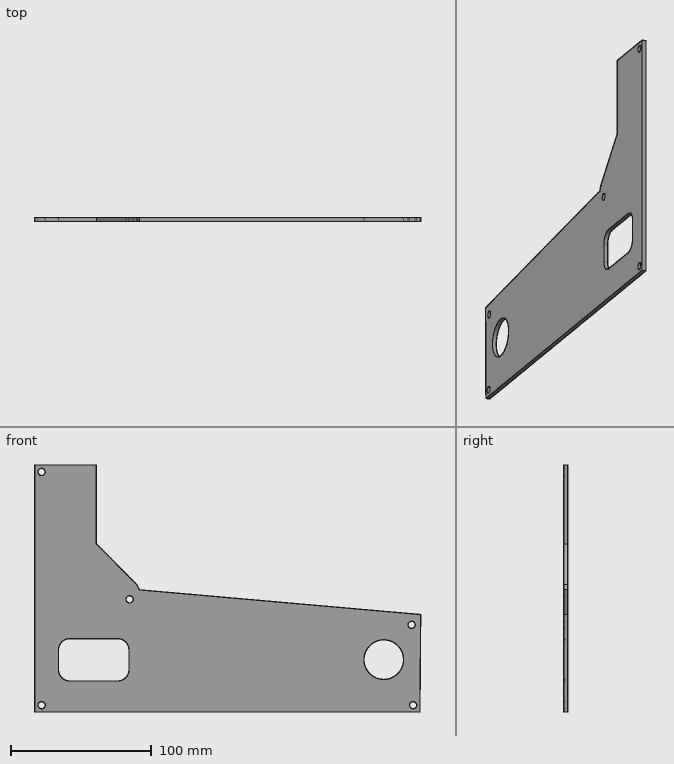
import cadquery as cq

length = 274.5
thickness = 3.0
height = 175.7
bottom_length = 274.0
right_edge_height = 69.5

arm_width = 44.0
arm_foot_z = 119.7
shoulder_end = (72.7, 90.5)
top_edge_start = (74.5, 87.0)

screw_diameter = 5.0
screw_inset = 5.0
shoulder_screw = (67.5, 80.2)
upper_right_screw = (268.0, 62.0)

opening_diameter = 28.0
opening_center = (248.2, 37.3)

window_width = 50.0
window_height = 30.0
window_radius = 8.0
window_left = 17.0
window_bottom = 22.2


def plate():
    """Flat plate with its lower left corner at the origin."""
    outline = [
        (0, 0),
        (bottom_length, 0),
        (length, right_edge_height),
        top_edge_start,
        shoulder_end,
        (arm_width, arm_foot_z),
        (arm_width, height),
        (0, height),
    ]
    return cq.Workplane("XZ").polyline(outline).close().extrude(thickness)


def round_cutters(centers, diameter):
    """Cylinders through the plate thickness at the given X, Z centers."""
    return cq.Workplane("XZ").pushPoints(centers).circle(diameter / 2).extrude(thickness)


def window_cutter():
    """Rectangular block with rounded corners through the plate thickness."""
    center_x = window_left + window_width / 2
    center_z = window_bottom + window_height / 2
    block = cq.Workplane("XZ").center(center_x, center_z).rect(window_width, window_height)
    return block.extrude(thickness).edges("|Y").fillet(window_radius)


screw_centers = [
    (screw_inset, screw_inset),
    (screw_inset, height - screw_inset),
    (bottom_length - screw_inset, screw_inset),
    shoulder_screw,
    upper_right_screw,
]

result = (
    plate()
    .cut(round_cutters(screw_centers, screw_diameter))
    .cut(round_cutters([opening_center], opening_diameter))
    .cut(window_cutter())
)